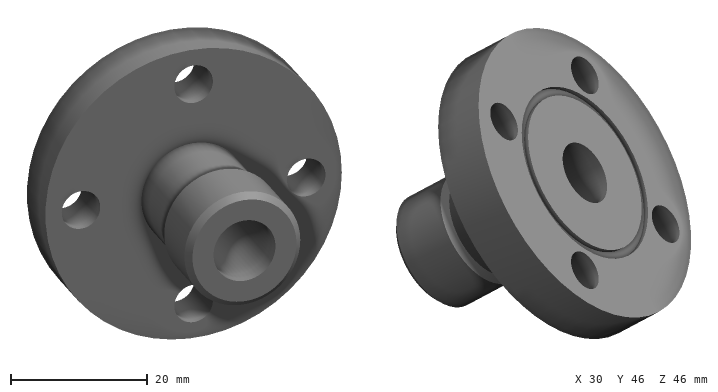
import cadquery as cq

flange_diameter = 46.0
flange_thickness = 8.0
overall_length = 30.0

neck_diameter = 16.2
head_diameter = 18.0
head_start = 19.45
end_chamfer_length = 0.9
end_chamfer_depth = 0.9

bore_diameter = 9.6
bolt_hole_diameter = 6.0
bolt_circle_diameter = 34.95
bolt_hole_count = 4

groove_inner_diameter = 24.55
groove_outer_diameter = 27.32
groove_depth = 0.8


def turned_body():
    """Revolve the outer profile, drawn as axial position and radius, about X."""
    flange_radius = flange_diameter / 2
    neck_radius = neck_diameter / 2
    head_radius = head_diameter / 2
    shoulder_length = head_radius - neck_radius
    profile = [
        (0, 0),
        (0, flange_radius),
        (flange_thickness, flange_radius),
        (flange_thickness, neck_radius),
        (head_start, neck_radius),
        (head_start + shoulder_length, head_radius),
        (overall_length - end_chamfer_length, head_radius),
        (overall_length, head_radius - end_chamfer_depth),
        (overall_length, 0),
    ]
    return cq.Workplane("XY").polyline(profile).close().revolve(360, (0, 0, 0), (1, 0, 0))


def bore():
    return cq.Workplane("YZ").circle(bore_diameter / 2).extrude(overall_length)


def bolt_holes():
    return (
        cq.Workplane("YZ")
        .polarArray(bolt_circle_diameter / 2, 0, 360, bolt_hole_count)
        .circle(bolt_hole_diameter / 2)
        .extrude(flange_thickness)
    )


def face_groove():
    return (
        cq.Workplane("YZ")
        .circle(groove_outer_diameter / 2)
        .circle(groove_inner_diameter / 2)
        .extrude(groove_depth)
    )


result = turned_body().cut(bore()).cut(bolt_holes()).cut(face_groove())